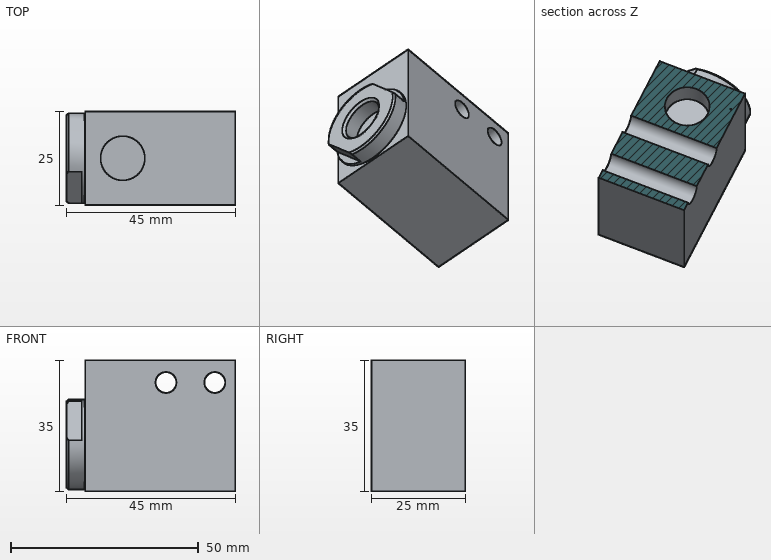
import cadquery as cq

block_length = 40.0
block_width = 25.0
block_height = 35.0

plug_length = 5.0
plug_radius = 12.0
plug_height = block_width / 2
plug_chamfer = 0.55
flat_angle = 39
flat_distance = 10.0
flat_length = 4.0
neck_length = 0.2
neck_radius = 10.0

port_radius = 5.9
port_chamfer = 0.7
plug_port_depth = plug_length
top_port_x = 10.0
top_port_depth = 12.0

mount_diameter = 5.5
mount_spacing = 13.0
mount_right_margin = 5.5
mount_top_margin = 6.0


def make_block():
    return cq.Workplane("XY").box(block_length, block_width, block_height, centered=(False, True, False))


def make_plug():
    """Chamfered disc with two parallel wrench flats on a short neck, outer face at X = -plug_length."""
    plug = (
        cq.Workplane("YZ", origin=(-plug_length, 0, 0))
        .circle(plug_radius)
        .extrude(plug_length - neck_length)
        .faces("<X")
        .chamfer(plug_chamfer)
    )
    for side in (-1, 1):
        outside_flat = (
            cq.Workplane("XY")
            .box(flat_length, plug_radius, 2 * plug_radius, centered=(False, True, True))
            .translate((-plug_length, side * (flat_distance + plug_radius / 2), 0))
        )
        plug = plug.cut(outside_flat.rotate((0, 0, 0), (1, 0, 0), -flat_angle))
    neck = cq.Workplane("YZ", origin=(-neck_length, 0, 0)).circle(neck_radius).extrude(neck_length)
    plug = plug.union(neck)
    return plug.translate((0, 0, plug_height))


def make_plug_port():
    """Blind bore along X with a 45 degree chamfer at its mouth."""
    mouth_radius = port_radius + port_chamfer
    return (
        cq.Workplane("XY", origin=(-plug_length, 0, plug_height))
        .polyline([
            (0, 0),
            (0, mouth_radius),
            (port_chamfer, port_radius),
            (plug_port_depth, port_radius),
            (plug_port_depth, 0),
        ])
        .close()
        .revolve(360, (0, 0, 0), (1, 0, 0))
    )


def make_top_port():
    return (
        cq.Workplane("XY", origin=(top_port_x, 0, block_height))
        .circle(port_radius)
        .extrude(-top_port_depth)
    )


def make_mounting_holes():
    right_hole_x = block_length - mount_right_margin
    hole_z = block_height - mount_top_margin
    return (
        cq.Workplane("XZ")
        .pushPoints([(right_hole_x - mount_spacing, hole_z), (right_hole_x, hole_z)])
        .circle(mount_diameter / 2)
        .extrude(block_width / 2, both=True)
    )


result = (
    make_block()
    .union(make_plug())
    .cut(make_plug_port())
    .cut(make_top_port())
    .cut(make_mounting_holes())
)